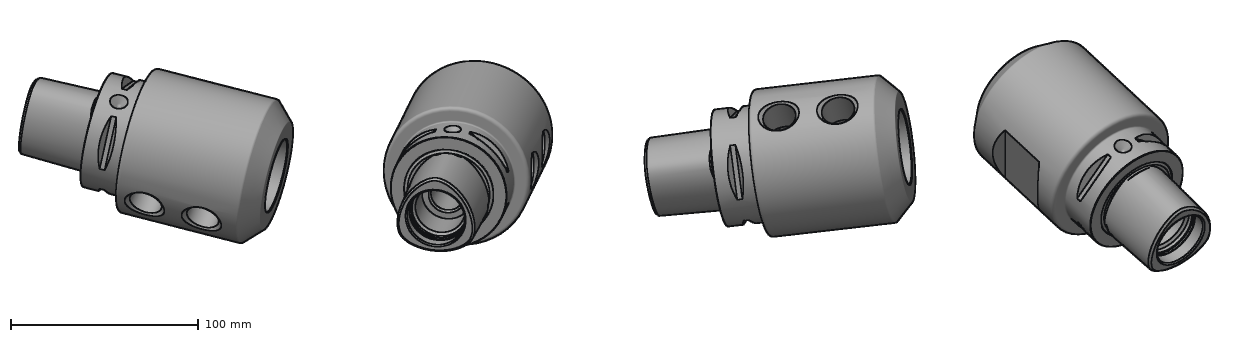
import cadquery as cq
import math

TOTAL_LENGTH = 138.0

SHANK_LENGTH = 35.5
SHANK_MEAN_RADIUS = 22.0
LOBE_HEIGHT = 1.5
TAPER_SLOPE = 1 / 40
NOSE_CHAMFER_LENGTH = 1.4
NOSE_CHAMFER_DROP = 1.1
OUTLINE_POINTS = 48

NECK_RADIUS = 22.4
NECK_CONE_RADIUS = 23.2
RELIEF_RADIUS = 24.3
RELIEF_DEPTH = 1.1

FLANGE_START = 38.0
FLANGE_RADIUS = 63.0 / 2
FLANGE_EDGE_CHAMFER = 0.3
FLANGE_ROOT_FILLET = 0.8

BODY_START = 59.9
BODY_RADIUS = 39.7
BODY_BACK_FILLET = 2.1
FRONT_CHAMFER = 9.8
FRONT_SHOULDER_FILLET = 1.2
FRONT_EDGE_FILLET = 0.7

NOSE_BORE_RADIUS = 15.6
NOSE_BORE_CHAMFER = 0.8
NOSE_GROOVE_RADIUS = 32.0 / 2
NOSE_GROOVE_START = 8.0
NOSE_GROOVE_END = 9.7
MIDDLE_BORE_RADIUS = 15.0
MIDDLE_BORE_END = 12.0
INNER_BORE_RADIUS = 13.5
INNER_BORE_START = 13.5
INNER_BORE_END = 33.1
THROUGH_RADIUS = 17.8 / 2
THROUGH_CHAMFER = 1.1

TOOL_BORE_RADIUS = 40.0 / 2
TOOL_BORE_START = 70.1
TOOL_BORE_CHAMFER = 0.48

CLAMP_CENTRE = 92.5
SCREW_SPACING = 31.9
SCREW_RADIUS = 17.8 / 2
SCREW_CHAMFER = 2.2

FLAT_LENGTH = 29.4
FLAT_DISTANCE = 35.0

GRIP_X = 49.8
GRIP_COUNT = 4
GRIP_FLOOR_DISTANCE = 27.9
GRIP_FLOOR_WIDTH = 2.8
GRIP_MOUTH_WIDTH = 7.7
DIMPLE_RADIUS = 4.8

CUT_MARGIN = 1.4


def revolve(points):
    """Turn a closed outline of (x, radius) points about the X axis."""
    return cq.Workplane("XY").polyline(points).close().revolve(360, (0, 0, 0), (1, 0, 0))


def shank_outline(x, mean_radius):
    """Three-lobed trochoid across the axis at x."""
    points = []
    for i in range(OUTLINE_POINTS):
        t = 2 * math.pi * i / OUTLINE_POINTS
        y = mean_radius * math.sin(t) + LOBE_HEIGHT * (2 * math.sin(2 * t) + math.sin(4 * t))
        z = -mean_radius * math.cos(t) + LOBE_HEIGHT * (2 * math.cos(2 * t) - math.cos(4 * t))
        points.append(cq.Vector(x, y, z))
    return cq.Wire.assembleEdges([cq.Edge.makeSpline(points, periodic=True)])


def make_shank():
    """Chamfered taper, then a straight part trimmed to the round neck."""
    def taper_radius(x):
        return SHANK_MEAN_RADIUS - TAPER_SLOPE * (SHANK_LENGTH - x)

    nose = shank_outline(0, taper_radius(0) - NOSE_CHAMFER_DROP)
    chamfer_end = shank_outline(NOSE_CHAMFER_LENGTH, taper_radius(NOSE_CHAMFER_LENGTH))
    wide_end = shank_outline(SHANK_LENGTH, SHANK_MEAN_RADIUS)
    taper = cq.Workplane(cq.Solid.makeLoft([nose, chamfer_end, wide_end], True))

    neck_axis = cq.Vector(FLANGE_START - SHANK_LENGTH, 0, 0)
    prism = cq.Workplane(cq.Solid.extrudeLinear(wide_end, [], neck_axis))
    cone_end = SHANK_LENGTH + NECK_CONE_RADIUS - NECK_RADIUS
    neck = revolve([
        (SHANK_LENGTH, 0),
        (SHANK_LENGTH, NECK_CONE_RADIUS),
        (cone_end, NECK_RADIUS),
        (FLANGE_START, NECK_RADIUS),
        (FLANGE_START, 0),
    ])
    return taper.union(prism.intersect(neck))


def make_flange():
    """Flange disc; the relief in its gauge face slopes down away from the neck."""
    return revolve([
        (FLANGE_START, 0),
        (FLANGE_START, NECK_RADIUS),
        (FLANGE_START + RELIEF_DEPTH, RELIEF_RADIUS),
        (FLANGE_START, RELIEF_RADIUS),
        (FLANGE_START, FLANGE_RADIUS - FLANGE_EDGE_CHAMFER),
        (FLANGE_START + FLANGE_EDGE_CHAMFER, FLANGE_RADIUS),
        (BODY_START, FLANGE_RADIUS),
        (BODY_START, 0),
    ])


def make_body():
    """Cylinder with a rounded back edge and a large front chamfer."""
    body = cq.Workplane("YZ", origin=(BODY_START, 0, 0)).circle(BODY_RADIUS)
    body = body.extrude(TOTAL_LENGTH - BODY_START)
    body = body.faces("<X").edges().fillet(BODY_BACK_FILLET)
    body = body.faces(">X").edges().chamfer(FRONT_CHAMFER)
    body = body.faces(">X").edges().fillet(FRONT_EDGE_FILLET)
    shoulder = cq.selectors.BoxSelector(
        (TOTAL_LENGTH - FRONT_CHAMFER - CUT_MARGIN, -BODY_RADIUS, -BODY_RADIUS),
        (TOTAL_LENGTH - FRONT_CHAMFER + CUT_MARGIN, BODY_RADIUS, BODY_RADIUS),
        boundingbox=False,
    )
    return body.edges("%CIRCLE").edges(shoulder).fillet(FRONT_SHOULDER_FILLET)


def make_root_fillet():
    """Ring that blends the flange into the back face of the body."""
    size = FLANGE_ROOT_FILLET
    mid = size * (1 - math.sqrt(0.5))
    outline = (
        cq.Workplane("XY")
        .moveTo(BODY_START - size, FLANGE_RADIUS)
        .threePointArc((BODY_START - mid, FLANGE_RADIUS + mid), (BODY_START, FLANGE_RADIUS + size))
        .lineTo(BODY_START, FLANGE_RADIUS - size)
        .lineTo(BODY_START - size, FLANGE_RADIUS - size)
        .close()
    )
    return outline.revolve(360, (0, 0, 0), (1, 0, 0))


def make_bores():
    """Stepped nose bore, through hole and tool bore as one turned cutter."""
    return revolve([
        (0, 0),
        (0, NOSE_BORE_RADIUS + NOSE_BORE_CHAMFER),
        (NOSE_BORE_CHAMFER, NOSE_BORE_RADIUS),
        (NOSE_GROOVE_START, NOSE_BORE_RADIUS),
        (NOSE_GROOVE_START, NOSE_GROOVE_RADIUS),
        (NOSE_GROOVE_END, NOSE_GROOVE_RADIUS),
        (NOSE_GROOVE_END, MIDDLE_BORE_RADIUS),
        (MIDDLE_BORE_END, MIDDLE_BORE_RADIUS),
        (INNER_BORE_START, INNER_BORE_RADIUS),
        (INNER_BORE_END, INNER_BORE_RADIUS),
        (INNER_BORE_END, THROUGH_RADIUS + THROUGH_CHAMFER),
        (INNER_BORE_END + THROUGH_CHAMFER, THROUGH_RADIUS),
        (TOOL_BORE_START, THROUGH_RADIUS),
        (TOOL_BORE_START, TOOL_BORE_RADIUS),
        (TOTAL_LENGTH - TOOL_BORE_CHAMFER, TOOL_BORE_RADIUS),
        (TOTAL_LENGTH, TOOL_BORE_RADIUS + TOOL_BORE_CHAMFER),
        (TOTAL_LENGTH, 0),
    ])


def make_screw_hole(x):
    """Radial hole from -Y into the tool bore, with a 45 degree countersink."""
    inward = cq.Vector(0, 1, 0)
    surface = cq.Vector(x, -BODY_RADIUS, 0)
    hole = cq.Solid.makeCylinder(SCREW_RADIUS, BODY_RADIUS, surface, inward)
    sink = cq.Solid.makeCone(SCREW_RADIUS + SCREW_CHAMFER, SCREW_RADIUS, SCREW_CHAMFER, surface, inward)
    return cq.Workplane(hole).union(cq.Workplane(sink))


def make_flat():
    """Trapezoid along X, cut straight through in Z."""
    half_floor = FLAT_LENGTH / 2
    depth = BODY_RADIUS + CUT_MARGIN - FLAT_DISTANCE
    outline = [
        (CLAMP_CENTRE - half_floor, FLAT_DISTANCE),
        (CLAMP_CENTRE + half_floor, FLAT_DISTANCE),
        (CLAMP_CENTRE + half_floor + depth, FLAT_DISTANCE + depth),
        (CLAMP_CENTRE - half_floor - depth, FLAT_DISTANCE + depth),
    ]
    return cq.Workplane("XY").polyline(outline).close().extrude(BODY_RADIUS, both=True)


def make_grip_groove(angle):
    """Trapezoid groove across the flange, facing the given angle about X."""
    depth = FLANGE_RADIUS - GRIP_FLOOR_DISTANCE
    outline = [
        (GRIP_X - GRIP_FLOOR_WIDTH / 2, GRIP_FLOOR_DISTANCE),
        (GRIP_X + GRIP_FLOOR_WIDTH / 2, GRIP_FLOOR_DISTANCE),
        (GRIP_X + GRIP_MOUTH_WIDTH / 2, GRIP_FLOOR_DISTANCE + depth),
        (GRIP_X - GRIP_MOUTH_WIDTH / 2, GRIP_FLOOR_DISTANCE + depth),
    ]
    groove = cq.Workplane("XY").polyline(outline).close().extrude(FLANGE_RADIUS, both=True)
    return groove.rotate((0, 0, 0), (1, 0, 0), angle)


def make_dimple():
    """90 degree cone sunk into the top of the flange."""
    downward = cq.Vector(0, 0, -1)
    top = cq.Vector(GRIP_X, 0, FLANGE_RADIUS)
    return cq.Workplane(cq.Solid.makeCone(DIMPLE_RADIUS, 0, DIMPLE_RADIUS, top, downward))


result = make_body().union(make_root_fillet()).union(make_flange()).union(make_shank())
result = result.cut(make_bores()).cut(make_flat()).cut(make_dimple())

for side in (-1, 1):
    result = result.cut(make_screw_hole(CLAMP_CENTRE + side * SCREW_SPACING / 2))

for i in range(GRIP_COUNT):
    result = result.cut(make_grip_groove((i + 0.5) * 360 / GRIP_COUNT))